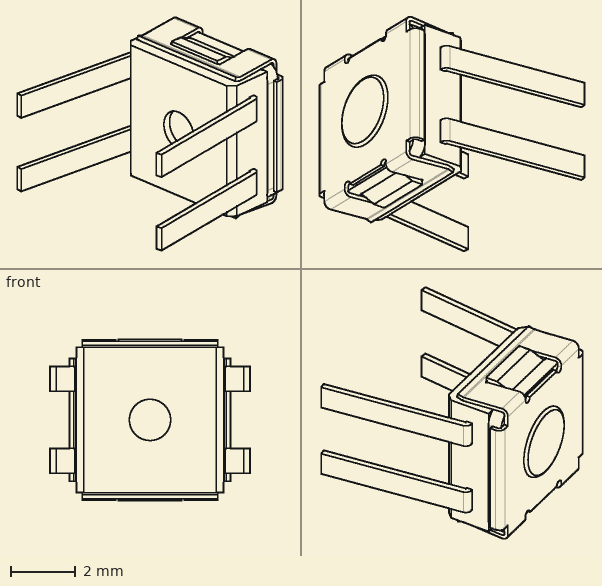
import cadquery as cq
import math


body_width = 4.555
body_height = 4.505
body_front_y = 0.875
body_chamfer = 0.22
shoulder_size = 4.59
shoulder_corner_radius = 0.465
shoulder_front_y = 2.465
hole_diameter = 1.28
hole_depth = 0.25

sheet = 0.13
cover_back_y = 3.055
cover_under_y = cover_back_y - sheet
bend_radius = 0.215
cover_width = 4.21
cover_span_z = 4.97
flange_tilt = 4.3
flange_length = 1.385
lip_angle = 19.0
lip_radius = 0.11
lip_length = 0.17
flap_span_x = 5.0
flap_height = 3.81
flap_length = 0.19

window_width = 2.115
window_front_y = 1.61
window_floor_z = 2.205
relief_diameter = 0.26
catch_width = 1.965
catch_top_z = 2.5
catch_ramp_end_y = 1.97
catch_front_y = 1.575

button_back_y = 3.15
button_diameter = 2.33
button_top_diameter = 2.14
button_rim_start_y = 3.025

pin_tip_y = -3.15
pin_span_x = 6.2
pin_width = 0.775
pin_spacing = 2.54
pin_thickness = 0.2
pin_back_y = 1.86
pin_root_x = 1.89
pin_tilt = 6.8


def direction(degrees):
    """Unit vector at an angle measured from the first axis."""
    return cq.Vector(math.cos(math.radians(degrees)), math.sin(math.radians(degrees)))


def pair(point):
    """Plain (first, second) coordinates of a vector."""
    return (point.x, point.y)


def block(width, height, front_y, back_y):
    """Box centred on X and Z, reaching from front_y to back_y."""
    return (
        cq.Workplane("XZ", origin=(0, back_y, 0))
        .rect(width, height)
        .extrude(back_y - front_y)
    )


def side_profile(width):
    """YZ workplane placed so that extruding by width centres the solid on X."""
    return cq.Workplane("YZ", origin=(-width / 2, 0, 0))


def both_ends(shape):
    """The shape and its mirror image in Z."""
    return shape.union(shape.mirror("XY"))


def make_body():
    body = block(body_width, body_height, body_front_y, shoulder_front_y)
    body = body.faces("<Y").edges("|Z").chamfer(body_chamfer)
    shoulder = block(shoulder_size, shoulder_size, shoulder_front_y, cover_under_y)
    shoulder = shoulder.edges("|Y").fillet(shoulder_corner_radius)
    hole = (
        cq.Workplane("XZ", origin=(0, body_front_y + hole_depth, 0))
        .circle(hole_diameter / 2)
        .extrude(hole_depth)
    )
    return body.union(shoulder).cut(hole)


def make_flange():
    """Upper long flange with its half of the back plate, bend and lip."""
    normal = direction(90 + flange_tilt)
    along = direction(180 + flange_tilt)
    lip_normal = direction(90 - lip_angle)
    lip_along = direction(180 - lip_angle)
    mid_normal = direction(90 + (flange_tilt - lip_angle) / 2)
    mid_bend = direction((90 + flange_tilt) / 2)
    inner_radius = bend_radius - sheet
    lip_inner_radius = lip_radius + sheet

    bend = cq.Vector(cover_back_y - bend_radius, cover_span_z / 2 - bend_radius)
    lip_bend = bend + normal * (bend_radius + lip_radius) + along * flange_length
    lip_end = lip_bend - lip_normal * lip_radius + lip_along * lip_length

    outline = (
        side_profile(cover_width)
        .moveTo(cover_back_y, 0)
        .lineTo(cover_back_y, bend.y)
        .threePointArc(pair(bend + mid_bend * bend_radius), pair(bend + normal * bend_radius))
        .lineTo(*pair(lip_bend - normal * lip_radius))
        .threePointArc(
            pair(lip_bend - mid_normal * lip_radius), pair(lip_bend - lip_normal * lip_radius)
        )
        .lineTo(*pair(lip_end))
        .lineTo(*pair(lip_end - lip_normal * sheet))
        .lineTo(*pair(lip_bend - lip_normal * lip_inner_radius))
        .threePointArc(
            pair(lip_bend - mid_normal * lip_inner_radius),
            pair(lip_bend - normal * lip_inner_radius),
        )
        .lineTo(*pair(bend + normal * inner_radius))
        .threePointArc(pair(bend + mid_bend * inner_radius), (cover_under_y, bend.y))
        .lineTo(cover_under_y, 0)
        .close()
    )
    return outline.extrude(cover_width)


def make_window():
    """Cutter for the upper flange window and its round corner reliefs."""
    window_height = cover_span_z / 2 - window_floor_z
    window = (
        side_profile(window_width)
        .moveTo(window_front_y, window_floor_z)
        .lineTo(cover_back_y, window_floor_z)
        .lineTo(cover_back_y, window_floor_z + window_height)
        .lineTo(window_front_y, window_floor_z + window_height)
        .close()
        .extrude(window_width)
    )
    relief_x = (window_width - relief_diameter) / 2
    reliefs = (
        cq.Workplane("XZ", origin=(0, cover_back_y, 0))
        .pushPoints([(-relief_x, window_floor_z), (relief_x, window_floor_z)])
        .circle(relief_diameter / 2)
        .extrude(sheet)
    )
    return window.union(reliefs)


def make_side_flaps():
    """Strip across the back plate with a short bent flap at each X end."""
    outer_x = flap_span_x / 2
    flap_front_y = cover_back_y - bend_radius - flap_length
    outer = block(flap_span_x, flap_height, flap_front_y, cover_back_y)
    outer = outer.faces(">Y").edges("|Z").fillet(bend_radius)
    inner = block(2 * (outer_x - sheet), flap_height, flap_front_y, cover_under_y)
    inner = inner.faces(">Y").edges("|Z").fillet(bend_radius - sheet)
    return outer.cut(inner)


def make_cover():
    flange = make_flange().cut(make_window())
    return both_ends(flange).union(make_side_flaps())


def make_catch():
    """Upper snap catch: a ramp rising from the shoulder to a flat top."""
    return (
        side_profile(catch_width)
        .moveTo(shoulder_front_y, shoulder_size / 2)
        .lineTo(catch_ramp_end_y, catch_top_z)
        .lineTo(catch_front_y, catch_top_z)
        .lineTo(catch_front_y, body_height / 2 - sheet)
        .lineTo(shoulder_front_y, body_height / 2 - sheet)
        .close()
        .extrude(catch_width)
    )


def make_button():
    """Round button, its rim curving in from the side to a flat top."""
    half_profile = (
        cq.Workplane("XY")
        .moveTo(0, cover_under_y)
        .lineTo(button_diameter / 2, cover_under_y)
        .lineTo(button_diameter / 2, button_rim_start_y)
        .tangentArcPoint((button_top_diameter / 2, button_back_y), relative=False)
        .lineTo(0, button_back_y)
        .close()
    )
    return half_profile.revolve(360, (0, 0, 0), (0, 1, 0))


def make_pin():
    """One pin on the +X side, centred on Z = 0."""
    outward = direction(pin_tilt)
    along = direction(pin_tilt - 90)
    bend_y = pin_back_y - pin_thickness
    tip_outer = cq.Vector(pin_span_x / 2, pin_tip_y + pin_thickness * outward.y)
    tip_inner = tip_outer - outward * pin_thickness
    length = (tip_inner.y - bend_y) / along.y
    bend = tip_inner - along * length
    mid_bend = bend + direction((90 + pin_tilt) / 2) * pin_thickness
    return (
        cq.Workplane("XY", origin=(0, 0, -pin_width / 2))
        .moveTo(pin_root_x, pin_back_y)
        .lineTo(bend.x, pin_back_y)
        .threePointArc(pair(mid_bend), pair(bend + outward * pin_thickness))
        .lineTo(*pair(tip_outer))
        .lineTo(*pair(tip_inner))
        .lineTo(*pair(bend))
        .lineTo(pin_root_x, bend_y)
        .close()
        .extrude(pin_width)
    )


def make_pins():
    pin = make_pin().translate((0, 0, pin_spacing / 2))
    pin_pair = both_ends(pin)
    return pin_pair.union(pin_pair.mirror("YZ"))


result = (
    make_body()
    .union(make_cover())
    .union(both_ends(make_catch()))
    .union(make_button())
    .union(make_pins())
)